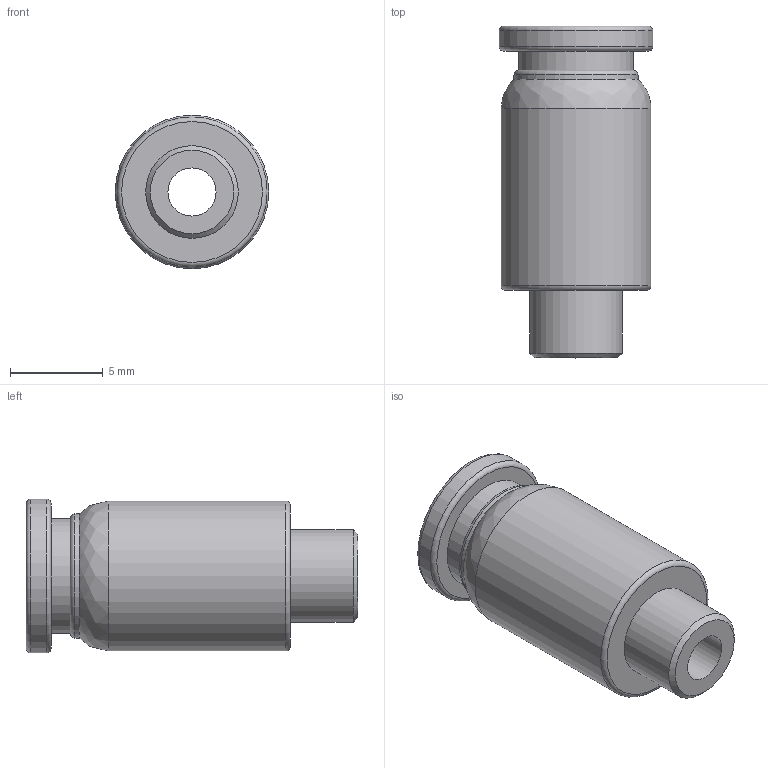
import cadquery as cq
import math

overall_length = 17.92

spigot_radius = 2.5
spigot_length = 3.65
body_radius = 4.05
shoulder_curve_radius = 2.1
collar_radius = 3.35
neck_radius = 3.1
flange_radius = 4.145
bore_radius = 1.3

flange_thickness = 1.35
neck_length = 1.04
collar_length = 0.48
edge_size = 0.25

flange_start = overall_length - flange_thickness
collar_end = flange_start - neck_length
collar_start = collar_end - collar_length

shoulder_center_radius = body_radius - shoulder_curve_radius
shoulder_run = math.sqrt(shoulder_curve_radius**2 - (collar_radius - shoulder_center_radius) ** 2)
shoulder_start = collar_start - shoulder_run


def cylinder(radius, start, end):
    """Plain cylinder along Y from start to end."""
    return cq.Workplane("XZ", origin=(0, start, 0)).circle(radius).extrude(start - end)


def rounded_cylinder(radius, start, end, rounded_edges):
    """Cylinder along Y from start to end with the selected rim edges rounded."""
    return cylinder(radius, start, end).edges(rounded_edges).fillet(edge_size)


def domed_shoulder():
    """Convex shoulder narrowing from the body to the collar."""
    half_angle = math.asin(shoulder_run / shoulder_curve_radius) / 2
    arc_middle = (
        shoulder_center_radius + shoulder_curve_radius * math.cos(half_angle),
        shoulder_start + shoulder_curve_radius * math.sin(half_angle),
    )
    return (
        cq.Workplane("XY")
        .moveTo(0, shoulder_start)
        .lineTo(body_radius, shoulder_start)
        .threePointArc(arc_middle, (collar_radius, collar_start))
        .lineTo(0, collar_start)
        .close()
        .revolve(360, (0, 0, 0), (0, 1, 0))
    )


spigot = cylinder(spigot_radius, 0, spigot_length).edges("<Y").chamfer(edge_size)
body = rounded_cylinder(body_radius, spigot_length, shoulder_start, "<Y")
collar = rounded_cylinder(collar_radius, collar_start, collar_end, ">Y")
neck = cylinder(neck_radius, collar_end, flange_start)
flange = rounded_cylinder(flange_radius, flange_start, overall_length, "%CIRCLE")
bore = cylinder(bore_radius, 0, overall_length)

result = spigot.union(body).union(domed_shoulder()).union(collar).union(neck).union(flange).cut(bore)